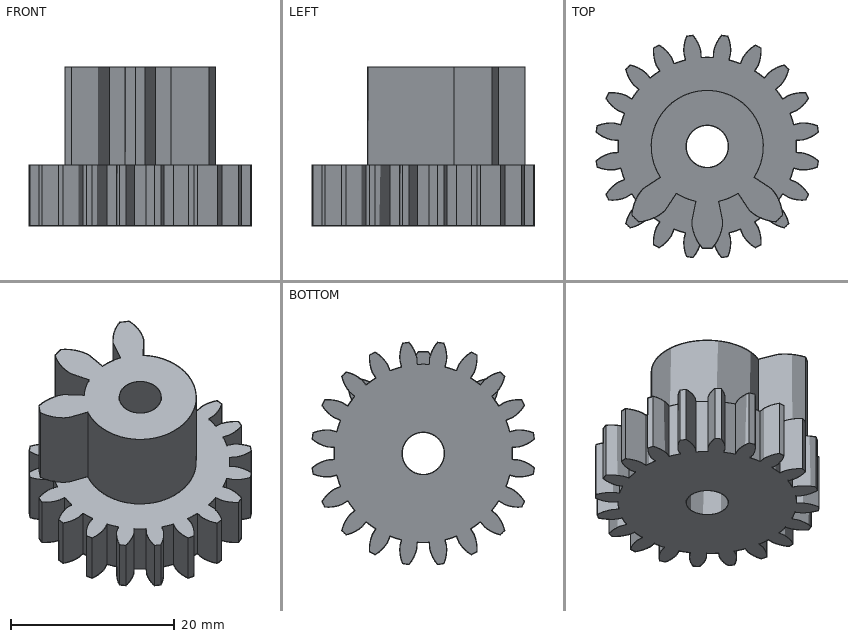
import cadquery as cq
import math

overall_width = 27.27
total_height = 19.5
gear_height = 7.5
pinion_height = total_height - gear_height
bore_diameter = 5.15

gear_teeth = 20
pinion_teeth = 8

pressure_angle = math.radians(20)
dedendum_factor = 1.25
thickness_factor = 0.96


def polar(radius, angle):
    return (radius * math.cos(angle), radius * math.sin(angle))


def involute(angle):
    return math.tan(angle) - angle


def half_angle(teeth, radius_in_modules):
    """Half of the angle that an involute tooth spans at a radius given in modules."""
    base_in_modules = teeth / 2 * math.cos(pressure_angle)
    flank_angle = math.acos(base_in_modules / radius_in_modules)
    pitch_half_angle = thickness_factor * math.pi / (2 * teeth)
    return pitch_half_angle + involute(pressure_angle) - involute(flank_angle)


def tooth(module, teeth, height):
    """Flat-tipped tooth along +X, with radial sides from the axis to the base circle.

    Each flank is an arc through the base, middle and tip of the involute.
    """
    base = teeth / 2 * math.cos(pressure_angle)
    tip = teeth / 2 + 1
    radii = (base, (base + tip) / 2, tip)
    upper_flank = [polar(module * r, half_angle(teeth, r)) for r in radii]
    lower_flank = [(x, -y) for x, y in upper_flank]

    return (
        cq.Workplane("XY")
        .lineTo(*lower_flank[0])
        .threePointArc(lower_flank[1], lower_flank[2])
        .lineTo(*upper_flank[2])
        .threePointArc(upper_flank[1], upper_flank[0])
        .close()
        .extrude(height)
    )


def toothed_wheel(module, teeth, height, tooth_angles):
    """Root cylinder carrying one tooth at each of the given angles."""
    root_radius = module * (teeth / 2 - dedendum_factor)
    wheel = cq.Workplane("XY").circle(root_radius).extrude(height)
    single_tooth = tooth(module, teeth, height)
    for angle in tooth_angles:
        wheel = wheel.union(single_tooth.rotate((0, 0, 0), (0, 0, 1), angle))
    return wheel


gear_tip_in_modules = gear_teeth / 2 + 1
corner_angle = math.pi / gear_teeth - half_angle(gear_teeth, gear_tip_in_modules)
gear_tip_radius = overall_width / 2 / math.cos(corner_angle)
gear_module = gear_tip_radius / gear_tip_in_modules
pinion_module = 2 * gear_module

gear_spacing = 360 / gear_teeth
gear_angles = [(i + 0.5) * gear_spacing for i in range(gear_teeth)]

pinion_spacing = 360 / pinion_teeth
pinion_angles = [-90 + i * pinion_spacing for i in (-1, 0, 1)]

gear = toothed_wheel(gear_module, gear_teeth, gear_height, gear_angles)
pinion = toothed_wheel(pinion_module, pinion_teeth, pinion_height, pinion_angles)
bore = cq.Workplane("XY").circle(bore_diameter / 2).extrude(total_height)

result = gear.union(pinion.translate((0, 0, gear_height))).cut(bore)